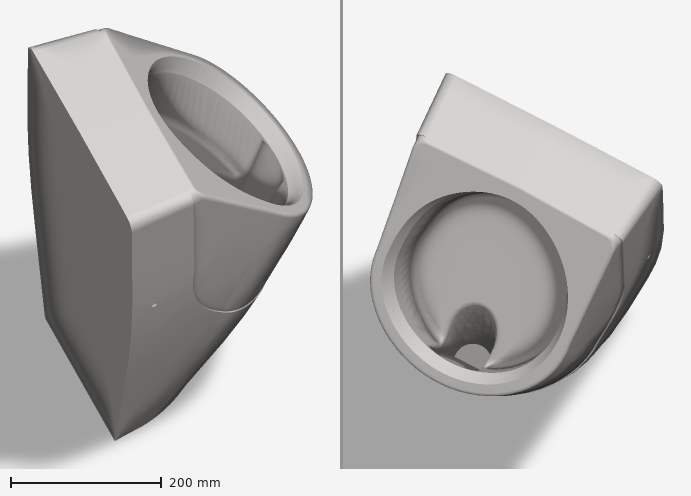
import cadquery as cq
import math

height = 559.5
half_width = 166.0
big = 2 * height
slant = math.sqrt(0.5)

body_sections = [
    (0, 111.0, 25.0, 144.5),
    (112, 132.0, 75.5, 214.5),
    (224, 152.0, 128.5, 274.0),
    (308, 163.0, 165.0, 310.0),
    (363.5, half_width, 193.0, 332.5),
    (447.5, half_width, 229.5, 363.0),
    (587.5, half_width, 280.0, 410.5),
]
side_draft = 0.085
hood_inset = 2.0

bottom_edge = (163.5, 34.0)
tip = (320.0, 335.0)
rim_sum = sum(tip)
roof_side_drop = 3.5
roof_tilt = 1.9
roof_corner_radius = 15.5
rim_edge_radius = 5.0

hood_back = 94.0
hood_curve_top = 389.0
hood_curve_middle = (126.5, 268.5)
hood_curve_end = (207.0, 217.0)
hood_front = (268.5, 187.5)

bowl_centre_y = 222.0
rim_egg = (0, 129.0, 122.0, 153.5)
lip_egg = (21.0, 119.0, 113.5, 148.5)
floor_egg = (95.0, 113.0, 140.0, 112.0)
bowl_floor_radius = 8.5

outlet_bottom = (190.0, 24.5, 198.0, 229.0)
outlet_top = (337.5, 36.5, 192.5, 287.5)
outlet_edge_radius = 6.5

hole_diameter = 9.0
hole_depth = 28.0
hole_y = 34.0
hole_z = 356.0


def body_wire(z, back_half, centre_y, front):
    """D-shaped section: flat back, drafted sides and a half-elliptical nose."""
    nose_half = back_half - side_draft * centre_y
    nose_reach = front - centre_y
    sides = [
        cq.Edge.makeLine(cq.Vector(-nose_half, centre_y, z), cq.Vector(-back_half, 0, z)),
        cq.Edge.makeLine(cq.Vector(-back_half, 0, z), cq.Vector(back_half, 0, z)),
        cq.Edge.makeLine(cq.Vector(back_half, 0, z), cq.Vector(nose_half, centre_y, z)),
    ]
    nose = cq.Workplane("XY", origin=(0, centre_y, z)).ellipseArc(
        nose_half, nose_reach, 0, 180, startAtCurrent=False
    )
    return cq.Wire.assembleEdges([*sides, nose.val()])


def body_loft(inset):
    """Outer body before trimming, with its sides drawn in by the inset."""
    wires = [
        body_wire(z, half - inset, nose_start, front - inset / 2)
        for z, half, nose_start, front in body_sections
    ]
    return cq.Workplane(cq.Solid.makeLoft(wires))


def hood_region():
    """Everything in front of and above the step line."""
    return (
        cq.Workplane("YZ")
        .moveTo(hood_back, big)
        .lineTo(hood_back, hood_curve_top)
        .threePointArc(hood_curve_middle, hood_curve_end)
        .lineTo(*hood_front)
        .lineTo(big, hood_front[1])
        .lineTo(big, big)
        .close()
        .extrude(big, both=True)
    )


def side_limits():
    """Side profile with the sloping bottom and the 45 degree rim plane."""
    slope = bottom_edge[1] / bottom_edge[0]
    meeting_y = rim_sum / (1 + slope)
    return (
        cq.Workplane("YZ")
        .polyline([(0, 0), (meeting_y, meeting_y * slope), (0, rim_sum)])
        .close()
        .extrude(big, both=True)
    )


def roof_limits():
    """Space below the shallow ridged roof, which falls towards the front."""
    eave = height - roof_side_drop * big / half_width
    return (
        cq.Workplane("XZ", origin=(0, -big, 0))
        .polyline([(-big, -big), (-big, eave), (0, height), (big, eave), (big, -big)])
        .close()
        .extrude(-2 * big)
        .rotate((0, 0, height), (1, 0, height), -roof_tilt)
    )


def egg_wire(depth, half, front, back):
    """Egg-shaped section at a depth below the rim plane."""
    rim = cq.Plane(
        origin=(0, bowl_centre_y, rim_sum - bowl_centre_y),
        xDir=(1, 0, 0),
        normal=(0, 1, 1),
    )
    points = [
        (half, 0),
        (half * slant, front * slant),
        (0, front),
        (-half * slant, front * slant),
        (-half, 0),
        (-half * slant, -back * slant),
        (0, -back),
        (half * slant, -back * slant),
    ]
    return cq.Workplane(rim).workplane(offset=-depth).spline(points, periodic=True).wire().val()


def bowl():
    """Sloping lip followed by a basin whose floor is parallel to the rim."""
    lip = cq.Workplane(cq.Solid.makeLoft([egg_wire(*rim_egg), egg_wire(*lip_egg)]))
    basin = cq.Workplane(cq.Solid.makeLoft([egg_wire(*lip_egg), egg_wire(*floor_egg)]))
    basin = basin.faces("<(0,1,1)").edges().fillet(bowl_floor_radius)
    return lip.union(basin)


def outlet_wire(z, half, back, front):
    """U-shaped section with its round end towards the back."""
    arc_y = back + half
    return (
        cq.Workplane("XY", origin=(0, 0, z))
        .moveTo(-half, front)
        .lineTo(-half, arc_y)
        .threePointArc((0, back), (half, arc_y))
        .lineTo(half, front)
        .close()
        .val()
    )


def outlet():
    """Pocket that widens upwards from the outlet floor."""
    return cq.Workplane(cq.Solid.makeLoft([outlet_wire(*outlet_bottom), outlet_wire(*outlet_top)]))


def trimmed_body(inset):
    """Outer body cut to its profile, with rounded roof corners."""
    body = body_loft(inset).intersect(side_limits()).intersect(roof_limits())
    for side in (-1, 1):
        corner_zone = cq.selectors.BoxSelector(
            (side * half_width / 2, bottom_edge[1], height - roof_corner_radius),
            (side * big, hood_back, height),
        )
        body = body.edges(corner_zone).fillet(roof_corner_radius)
    return body


def fixing_hole(side):
    """Blind hole entering one side of the body."""
    return (
        cq.Workplane("YZ", origin=(side * half_width, 0, 0))
        .center(hole_y, hole_z)
        .circle(hole_diameter / 2)
        .extrude(-side * hole_depth)
    )


back_body = trimmed_body(0)
hood = trimmed_body(hood_inset)
hood = hood.faces(">(0,1,1)").edges().fillet(rim_edge_radius)
result = back_body.cut(hood_region()).union(hood.intersect(hood_region()))

result = result.cut(bowl()).cut(outlet())
_, mouth_half, mouth_back, _ = outlet_top
outlet_mouth = cq.selectors.BoxSelector(
    (-mouth_half / 2, mouth_back, (outlet_bottom[0] + outlet_top[0]) / 2),
    (mouth_half / 2, mouth_back + mouth_half, outlet_top[0]),
)
result = result.edges(outlet_mouth).fillet(outlet_edge_radius)

for side in (-1, 1):
    result = result.cut(fixing_hole(side))